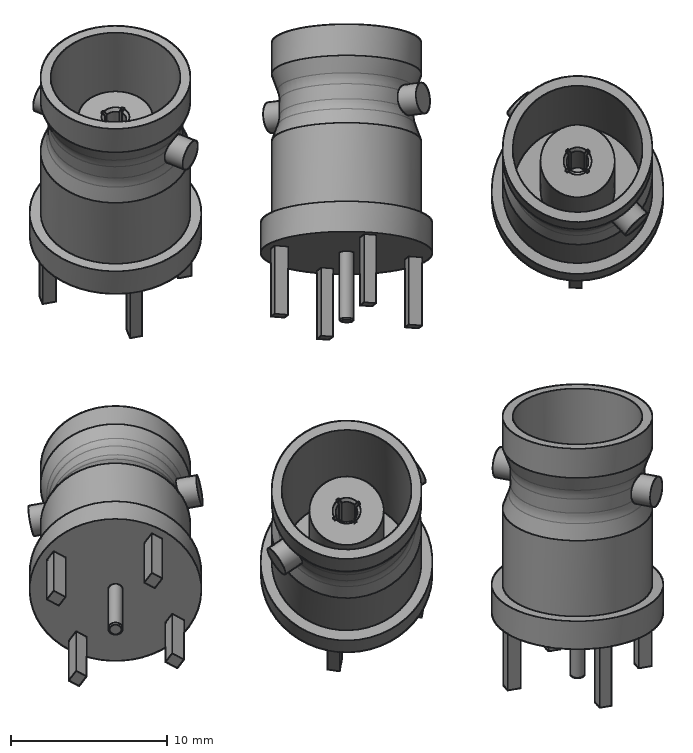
import cadquery as cq
import math


flange_diameter = 11.0
flange_thickness = 2.0
barrel_diameter = 9.6
barrel_top = 13.9

groove_height = 9.6
groove_diameter = 8.6
groove_flat = 1.0
groove_fillet_radius = 2.0
groove_flank_angle = math.radians(20)

lug_diameter = 2.0
lug_span = 11.0

bore_diameter = 8.3
bore_floor = flange_thickness
insulator_diameter = 4.75
insulator_top = 10.4

contact_diameter = 1.4
contact_mouth_diameter = 1.8
contact_depth = 5.0
contact_slot_length = 2.0
contact_slot_width = 0.2

pin_length = 4.5
pin_diameter = 0.95
pin_chamfer = 0.1
leg_circle_radius = 4.5
leg_radial_size = 0.9
leg_tangential_size = 0.8
leg_angles = (45, 135, 225, 315)


def make_body():
    """Revolve the flange and barrel with the flared groove."""
    flange_r = flange_diameter / 2
    barrel_r = barrel_diameter / 2
    groove_r = groove_diameter / 2

    def fillet_offset(angle):
        """Radius and distance from mid-groove after turning by angle along the fillet."""
        radius = groove_r + groove_fillet_radius * (1 - math.cos(angle))
        rise = groove_flat / 2 + groove_fillet_radius * math.sin(angle)
        return radius, rise

    mid_r, mid_rise = fillet_offset(groove_flank_angle / 2)
    end_r, end_rise = fillet_offset(groove_flank_angle)
    flank_rise = end_rise + (barrel_r - end_r) / math.tan(groove_flank_angle)

    profile = (
        cq.Workplane("XZ")
        .moveTo(0, 0)
        .lineTo(flange_r, 0)
        .lineTo(flange_r, flange_thickness)
        .lineTo(barrel_r, flange_thickness)
        .lineTo(barrel_r, groove_height - flank_rise)
        .lineTo(end_r, groove_height - end_rise)
        .threePointArc((mid_r, groove_height - mid_rise), (groove_r, groove_height - groove_flat / 2))
        .lineTo(groove_r, groove_height + groove_flat / 2)
        .threePointArc((mid_r, groove_height + mid_rise), (end_r, groove_height + end_rise))
        .lineTo(barrel_r, groove_height + flank_rise)
        .lineTo(barrel_r, barrel_top)
        .lineTo(0, barrel_top)
        .close()
    )
    return profile.revolve(360, (0, 0, 0), (0, 1, 0))


def make_lugs():
    """One bar along X; the socket bore later splits it into two lugs."""
    return (
        cq.Workplane("YZ", origin=(-lug_span / 2, 0, 0))
        .center(0, groove_height)
        .circle(lug_diameter / 2)
        .extrude(lug_span)
    )


def make_bore():
    """Annular space between the barrel wall and the insulator, open at the top."""
    bore = (
        cq.Workplane("XY", origin=(0, 0, bore_floor))
        .circle(bore_diameter / 2)
        .extrude(barrel_top - bore_floor)
    )
    insulator = (
        cq.Workplane("XY", origin=(0, 0, bore_floor))
        .circle(insulator_diameter / 2)
        .extrude(insulator_top - bore_floor)
    )
    return bore.cut(insulator)


def make_contact_hole():
    """Countersunk blind hole with two crossed slots of the same depth."""
    hole_r = contact_diameter / 2
    mouth_r = contact_mouth_diameter / 2
    countersink_depth = mouth_r - hole_r
    hole = (
        cq.Workplane("XZ")
        .moveTo(0, insulator_top)
        .lineTo(mouth_r, insulator_top)
        .lineTo(hole_r, insulator_top - countersink_depth)
        .lineTo(hole_r, insulator_top - contact_depth)
        .lineTo(0, insulator_top - contact_depth)
        .close()
        .revolve(360, (0, 0, 0), (0, 1, 0))
    )
    slot = (
        cq.Workplane("XY", origin=(0, 0, insulator_top))
        .rect(contact_slot_length, contact_slot_width)
        .extrude(-contact_depth)
    )
    crossing_slot = slot.rotate((0, 0, 0), (0, 0, 1), 90)
    return hole.union(slot).union(crossing_slot)


def make_pin():
    """Solder pin on the axis with a chamfered tip."""
    return (
        cq.Workplane("XY")
        .circle(pin_diameter / 2)
        .extrude(-pin_length)
        .faces("<Z")
        .chamfer(pin_chamfer)
    )


def make_leg(angle):
    """Rectangular ground leg whose radial side points along the given angle."""
    return (
        cq.Workplane("XY")
        .center(leg_circle_radius, 0)
        .rect(leg_radial_size, leg_tangential_size)
        .extrude(-pin_length)
        .rotate((0, 0, 0), (0, 0, 1), angle)
    )


result = make_body().union(make_lugs())
result = result.cut(make_bore()).cut(make_contact_hole())
result = result.union(make_pin())
for leg_angle in leg_angles:
    result = result.union(make_leg(leg_angle))